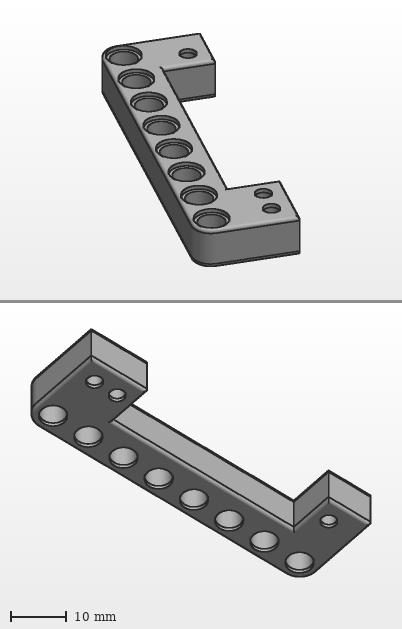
import cadquery as cq

length = 64.85
depth = 19.1
height = 8.0
bar_depth = 9.4
left_leg_width = 9.8
right_leg_width = 13.0
corner_radius = 3.6

cover_thickness = 0.8
core_thickness = height - 2 * cover_thickness
edge_radius = 0.6

bore_count = 8
bore_inset = 3.8
bore_diameter = 5.1
recess_diameter = 6.5
bore_pitch = (length - 2 * bore_inset) / (bore_count - 1)
bore_centers = [(bore_inset + i * bore_pitch, bore_inset) for i in range(bore_count)]

mount_diameter = 3.1
mount_back_inset = 4.1
mount_y = depth - mount_back_inset
left_mount_x = 6.35
right_mount_insets = [9.4, 4.15]
mount_centers = [(left_mount_x, mount_y)]
mount_centers += [(length - inset, mount_y) for inset in right_mount_insets]


def make_plate(bottom_z, thickness):
    """Solid U-shaped layer with its two front corners rounded."""
    return (
        cq.Workplane("XY", origin=(0, 0, bottom_z))
        .moveTo(0, 0)
        .lineTo(length, 0)
        .lineTo(length, depth)
        .lineTo(length - right_leg_width, depth)
        .lineTo(length - right_leg_width, bar_depth)
        .lineTo(left_leg_width, bar_depth)
        .lineTo(left_leg_width, depth)
        .lineTo(0, depth)
        .close()
        .extrude(thickness)
        .edges("|Z and <Y")
        .fillet(corner_radius)
    )


def cut_holes(plate, large_diameter):
    """Cut the bore row and the mounting holes through one layer."""
    cutters = (
        cq.Workplane("XY")
        .pushPoints(bore_centers)
        .circle(large_diameter / 2)
        .extrude(height)
        .pushPoints(mount_centers)
        .circle(mount_diameter / 2)
        .extrude(height)
    )
    return plate.cut(cutters)


def make_bottom_cover():
    """Thin layer with a rounded lower outer edge."""
    plate = make_plate(0, cover_thickness).faces("<Z").edges().fillet(edge_radius)
    return cut_holes(plate, bore_diameter)


def make_core():
    """Thick middle layer with square edges."""
    return cut_holes(make_plate(cover_thickness, core_thickness), bore_diameter)


def make_top_cover():
    """Thin layer with a rounded upper outer edge and wide recess holes."""
    plate = make_plate(height - cover_thickness, cover_thickness)
    plate = plate.faces(">Z").edges().fillet(edge_radius)
    return cut_holes(plate, recess_diameter)


bottom_cover = make_bottom_cover()
core = make_core()
top_cover = make_top_cover()

result = cq.Compound.makeCompound([bottom_cover.val(), core.val(), top_cover.val()])